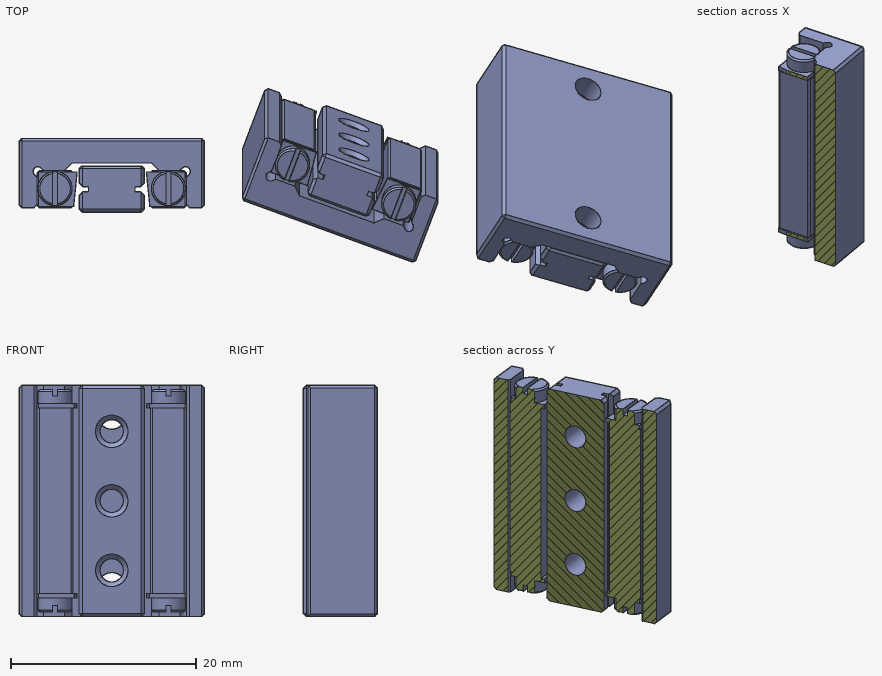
import cadquery as cq

LENGTH = 25.0
MID_Z = LENGTH / 2

RAIL_WIDTH = 7.05
RAIL_DEPTH = 5.0
RAIL_CHAMFER = 0.35
RAIL_BACK_CHAMFER = 0.25
GROOVE_HALF_OPENING = 0.68
GROOVE_SLOT_WIDTH = 0.5
GROOVE_DEPTH = 1.0
RAIL_HOLE_DIAMETER = 2.5
RAIL_HOLE_PITCH = 7.5
COUNTERSINK_DIAMETER = 3.5

CARRIAGE_WIDTH = 20.0
CARRIAGE_FRONT = 0.5
CARRIAGE_BACK = 8.0
CARRIAGE_CHAMFER = 0.3
POCKET_HALF_WIDTH = 8.05
POCKET_LIP_CHAMFER = 0.35
POCKET_FLOOR = 4.5
CHANNEL_FLOOR = 5.32
CHANNEL_HALF_WIDTH = 4.3
RELIEF_RADIUS = 0.5
RELIEF_LENGTH = 1.0
RELIEF_ANGLE = 45.0
RELIEF_X = 7.98
RELIEF_Y = 4.42
CARRIAGE_HOLE_DIAMETER = 3.0
CARRIAGE_HOLE_PITCH = 18.5

SIDE_RAIL_LENGTH = 20.0
SIDE_RAIL_INNER_X = 4.18
SIDE_RAIL_CHAMFER = 0.22

PLATE_THICKNESS = 0.5
PLATE_CLEARANCE = 0.12
PLATE_INNER_X_FRONT = 4.1
PLATE_INNER_X_BACK = 3.72

SCREW_X = 6.12
SCREW_Y = 2.58
SCREW_HEAD_DIAMETER = 3.7
SCREW_HEAD_HEIGHT = 1.5
SCREW_HEAD_CHAMFER = 0.2
SCREW_SLOT_WIDTH = 0.5
SCREW_SLOT_DEPTH = 0.7


def mirrored(side, points):
    """Mirror outline points to the chosen side of the YZ plane."""
    return [(side * x, y) for x, y in points]


def holes_along_y(diameter, z_positions, depth):
    """Cylinders along +Y from the front face, centred on the part's width."""
    return (
        cq.Workplane("XZ")
        .pushPoints([(0, z) for z in z_positions])
        .circle(diameter / 2)
        .extrude(-depth)
    )


def groove(side):
    """V groove with a relief slot at its bottom, along one flank of the centre rail."""
    flank_x = RAIL_WIDTH / 2
    half_slot = GROOVE_SLOT_WIDTH / 2
    neck_x = flank_x - (GROOVE_HALF_OPENING - half_slot)
    bottom_x = flank_x - GROOVE_DEPTH
    mid_y = RAIL_DEPTH / 2
    outline = [
        (flank_x, mid_y - GROOVE_HALF_OPENING),
        (neck_x, mid_y - half_slot),
        (bottom_x, mid_y - half_slot),
        (bottom_x, mid_y + half_slot),
        (neck_x, mid_y + half_slot),
        (flank_x, mid_y + GROOVE_HALF_OPENING),
    ]
    return cq.Workplane("XY").polyline(mirrored(side, outline)).close().extrude(LENGTH)


def make_rail():
    """Centre rail with chamfered edges, grooved flanks and countersunk mounting holes."""
    rail = (
        cq.Workplane("XY")
        .box(RAIL_WIDTH, RAIL_DEPTH, LENGTH, centered=(True, False, False))
        .faces("<Y or <X or >X").edges("not(>Y)").chamfer(RAIL_CHAMFER)
        .faces(">Y").edges().chamfer(RAIL_BACK_CHAMFER)
    )
    for side in (-1, 1):
        rail = rail.cut(groove(side))

    hole_positions = [MID_Z + i * RAIL_HOLE_PITCH for i in (-1, 0, 1)]
    rail = rail.cut(holes_along_y(RAIL_HOLE_DIAMETER, hole_positions, RAIL_DEPTH))
    countersink_depth = (COUNTERSINK_DIAMETER - RAIL_HOLE_DIAMETER) / 2
    for z in hole_positions:
        cone = cq.Solid.makeCone(
            COUNTERSINK_DIAMETER / 2,
            RAIL_HOLE_DIAMETER / 2,
            countersink_depth,
            pnt=cq.Vector(0, 0, z),
            dir=cq.Vector(0, 1, 0),
        )
        rail = rail.cut(cq.Workplane(cone))
    return rail


def corner_relief(side):
    """Round-ended slot set diagonally into the inner corner of the pocket."""
    return (
        cq.Workplane("XY", origin=(side * RELIEF_X, RELIEF_Y, 0))
        .transformed(rotate=(0, 0, -side * RELIEF_ANGLE))
        .center(0, -RELIEF_LENGTH / 2)
        .slot2D(RELIEF_LENGTH + 2 * RELIEF_RADIUS, 2 * RELIEF_RADIUS, 90)
        .extrude(LENGTH)
    )


def make_housing():
    """U-shaped housing with a stepped pocket, corner reliefs and two through holes."""
    housing = (
        cq.Workplane("XY")
        .box(CARRIAGE_WIDTH, CARRIAGE_BACK - CARRIAGE_FRONT, LENGTH, centered=(True, False, False))
        .translate((0, CARRIAGE_FRONT, 0))
        .faces("<X or >X or >Y").edges().chamfer(CARRIAGE_CHAMFER)
    )
    lip_x = POCKET_HALF_WIDTH + POCKET_LIP_CHAMFER
    channel_mouth_x = CHANNEL_HALF_WIDTH + CHANNEL_FLOOR - POCKET_FLOOR
    half_outline = [
        (lip_x, CARRIAGE_FRONT),
        (POCKET_HALF_WIDTH, CARRIAGE_FRONT + POCKET_LIP_CHAMFER),
        (POCKET_HALF_WIDTH, POCKET_FLOOR),
        (channel_mouth_x, POCKET_FLOOR),
        (CHANNEL_HALF_WIDTH, CHANNEL_FLOOR),
    ]
    pocket_outline = half_outline + mirrored(-1, half_outline[::-1])
    housing = housing.cut(cq.Workplane("XY").polyline(pocket_outline).close().extrude(LENGTH))

    for side in (-1, 1):
        housing = housing.cut(corner_relief(side))
    hole_positions = [MID_Z - CARRIAGE_HOLE_PITCH / 2, MID_Z + CARRIAGE_HOLE_PITCH / 2]
    holes = holes_along_y(CARRIAGE_HOLE_DIAMETER, hole_positions, CARRIAGE_BACK)
    return housing.cut(holes)


def side_rail(side):
    """Side rail seated in one corner of the pocket."""
    width = POCKET_HALF_WIDTH - SIDE_RAIL_INNER_X
    depth = POCKET_FLOOR - CARRIAGE_FRONT
    centre = (
        side * (POCKET_HALF_WIDTH + SIDE_RAIL_INNER_X) / 2,
        (POCKET_FLOOR + CARRIAGE_FRONT) / 2,
        MID_Z,
    )
    return (
        cq.Workplane("XY")
        .box(width, depth, SIDE_RAIL_LENGTH)
        .edges("|Z").chamfer(SIDE_RAIL_CHAMFER)
        .translate(centre)
    )


def end_cap(side):
    """Tapered end plate with its slotted screw head, at the top end of a side rail."""
    plate_base = MID_Z + SIDE_RAIL_LENGTH / 2
    head_base = plate_base + PLATE_THICKNESS
    head_top = head_base + SCREW_HEAD_HEIGHT
    plate_outer_x = POCKET_HALF_WIDTH - PLATE_CLEARANCE
    plate_front = CARRIAGE_FRONT + PLATE_CLEARANCE
    plate_back = POCKET_FLOOR - PLATE_CLEARANCE
    outline = [
        (plate_outer_x, plate_front),
        (PLATE_INNER_X_FRONT, plate_front),
        (PLATE_INNER_X_BACK, plate_back),
        (plate_outer_x, plate_back),
    ]
    plate = (
        cq.Workplane("XY", origin=(0, 0, plate_base))
        .polyline(mirrored(side, outline)).close()
        .extrude(PLATE_THICKNESS)
    )
    head = (
        cq.Workplane("XY", origin=(side * SCREW_X, SCREW_Y, head_base))
        .circle(SCREW_HEAD_DIAMETER / 2)
        .extrude(SCREW_HEAD_HEIGHT)
        .faces(">Z").edges().chamfer(SCREW_HEAD_CHAMFER)
    )
    slot = (
        cq.Workplane("XY", origin=(side * SCREW_X, SCREW_Y, head_top - SCREW_SLOT_DEPTH))
        .rect(SCREW_SLOT_WIDTH, SCREW_HEAD_DIAMETER)
        .extrude(SCREW_SLOT_DEPTH)
    )
    return plate.union(head.cut(slot))


def make_carriage():
    """Housing in one piece with its side rails, end plates and screw heads."""
    carriage = make_housing()
    for side in (-1, 1):
        top_cap = end_cap(side)
        bottom_cap = top_cap.mirror("XY", (0, 0, MID_Z))
        carriage = carriage.union(side_rail(side)).union(top_cap).union(bottom_cap)
    return carriage


rail = make_rail()
carriage = make_carriage()

result = cq.Compound.makeCompound([carriage.val(), rail.val()])